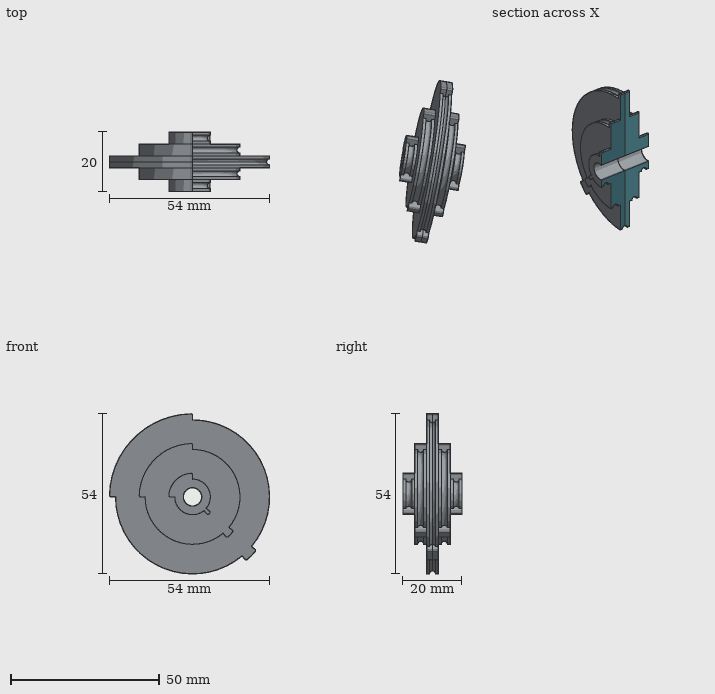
import cadquery as cq
import math


RIM_DISC_RADIUS = 26.0
RIM_STOP_RADIUS = 28.0
STEP_DISC_RADIUS = 16.0
STEP_STOP_RADIUS = 18.0
HUB_DISC_RADIUS = 6.0
HUB_STOP_RADIUS = 8.0

LAYER_THICKNESS = 4.0
HALF_RIM_THICKNESS = LAYER_THICKNESS / 2
BORE_DIAMETER = 6.1

GROOVE_RADIUS = LAYER_THICKNESS / 4
CORNER_RADIUS = 0.5

STOP_START_ANGLE = 90
STOP_END_ANGLE = 180
LUG_CENTER_ANGLE = -45
LUG_SPAN = 10


def polar(radius, angle):
    """Point in the XZ plane at a radius and an angle in degrees."""
    return radius * math.cos(math.radians(angle)), radius * math.sin(math.radians(angle))


def layer_plane(base):
    """Plane facing -Y at a distance in front of the split plane."""
    return cq.Workplane("XZ").workplane(offset=base)


def rounded_sector(radius, start_angle, end_angle, base, thickness):
    """Pie-shaped sector whose two outer corners are rounded."""
    sector = (
        layer_plane(base)
        .moveTo(0, 0)
        .lineTo(*polar(radius, start_angle))
        .threePointArc(polar(radius, (start_angle + end_angle) / 2), polar(radius, end_angle))
        .close()
        .extrude(thickness)
    )
    outer_corners = sector.edges("|Y").filter(
        lambda edge: math.hypot(edge.Center().x, edge.Center().z) > radius / 2
    )
    return outer_corners.fillet(CORNER_RADIUS)


def grooved_disc(radius, base, thickness, groove_center):
    """Disc with a round cord groove at a distance in front of the split plane."""
    groove = cq.Solid.makeTorus(
        radius, GROOVE_RADIUS, cq.Vector(0, -groove_center, 0), cq.Vector(0, 1, 0)
    )
    return layer_plane(base).circle(radius).extrude(thickness).cut(cq.Workplane(groove))


def pulley_layer(disc_radius, stop_radius, base, thickness, groove_center):
    """Grooved disc with its quarter-turn stop and its small lug."""
    lug_start = LUG_CENTER_ANGLE - LUG_SPAN / 2
    lug_end = LUG_CENTER_ANGLE + LUG_SPAN / 2
    disc = grooved_disc(disc_radius, base, thickness, groove_center)
    stop = rounded_sector(stop_radius, STOP_START_ANGLE, STOP_END_ANGLE, base, thickness)
    lug = rounded_sector(stop_radius, lug_start, lug_end, base, thickness)
    return disc.union(stop).union(lug)


def front_pulley_half():
    """Half rim, step and hub stacked towards -Y, with the bore through them."""
    step_base = HALF_RIM_THICKNESS
    hub_base = step_base + LAYER_THICKNESS
    half_width = hub_base + LAYER_THICKNESS

    rim = pulley_layer(RIM_DISC_RADIUS, RIM_STOP_RADIUS, 0, HALF_RIM_THICKNESS, 0)
    step = pulley_layer(
        STEP_DISC_RADIUS, STEP_STOP_RADIUS, step_base, LAYER_THICKNESS, step_base + LAYER_THICKNESS / 2
    )
    hub = pulley_layer(
        HUB_DISC_RADIUS, HUB_STOP_RADIUS, hub_base, LAYER_THICKNESS, hub_base + LAYER_THICKNESS / 2
    )
    bore = layer_plane(0).circle(BORE_DIAMETER / 2).extrude(half_width)
    return rim.union(step).union(hub).cut(bore)


front_half = front_pulley_half()
back_half = front_half.mirror("XZ")

result = cq.Compound.makeCompound([front_half.val(), back_half.val()])